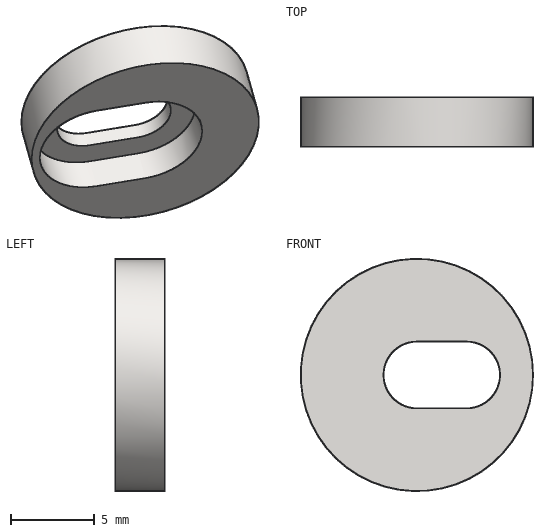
import cadquery as cq

disc_diameter = 14.0
thickness = 3.0
slot_width = 4.0
slot_center_spacing = 3.0
recess_width = 7.0
lip_thickness = 1.0
recess_depth = thickness - lip_thickness

front_y = -thickness / 2
back_y = thickness / 2


def slot_cutter(width, start_y, depth):
    """Horizontal slot running along +Y, with its left round end centred on the disc axis."""
    return (
        cq.Workplane("XZ", origin=(0, start_y, 0))
        .center(slot_center_spacing / 2, 0)
        .slot2D(slot_center_spacing + width, width)
        .extrude(-depth)
    )


disc = cq.Workplane("XZ", origin=(0, front_y, 0)).circle(disc_diameter / 2).extrude(-thickness)

through_slot = slot_cutter(slot_width, front_y, thickness)
back_recess = slot_cutter(recess_width, back_y - recess_depth, recess_depth)

result = disc.cut(through_slot).cut(back_recess)